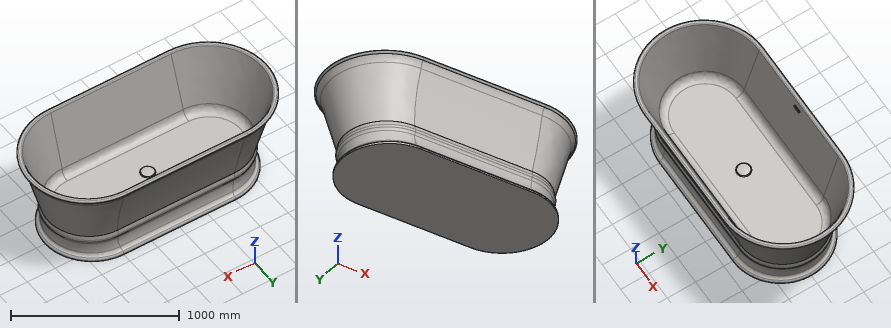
import cadquery as cq

RIM_HALF_LENGTH = 852.0
RIM_HALF_WIDTH = 419.0
TUB_HEIGHT = 615.0

RIM_THICKNESS = 22.0
RIM_BOTTOM = TUB_HEIGHT - RIM_THICKNESS
RIM_ROUNDING = 10.0

FOOT_BOTTOM = (0, 736.0, 335.0)
FLARE_BOTTOM = (22.0, 727.0, 327.0)
WAIST_BOTTOM = (45.0, 710.0, 305.0)
WAIST_TOP = (120.0, 710.0, 295.0)
BEAD_BOTTOM = (140.0, 719.0, 302.0)
BEAD_TOP = (157.0, 720.0, 303.0)
WALL_BOTTOM = (185.0, 715.0, 296.0)
WALL_TOP = (547.0, 816.0, 385.0)
LIP_TOP = (RIM_BOTTOM, RIM_HALF_LENGTH - RIM_ROUNDING, RIM_HALF_WIDTH - RIM_ROUNDING)

OUTER_BANDS = [
    [FOOT_BOTTOM, (12.0, 736.0, 335.0), FLARE_BOTTOM],
    [FLARE_BOTTOM, (30.0, 715.0, 313.0), WAIST_BOTTOM],
    [WAIST_BOTTOM, (78.0, 707.0, 295.0), WAIST_TOP],
    [WAIST_TOP, (131.0, 712.0, 296.0), BEAD_BOTTOM],
    [BEAD_BOTTOM, (148.0, 722.0, 305.0), BEAD_TOP],
    [BEAD_TOP, (170.0, 717.0, 300.0), WALL_BOTTOM],
    [WALL_BOTTOM, (366.0, 767.0, 334.0), WALL_TOP],
    [WALL_TOP, (572.0, 825.0, 394.0), LIP_TOP],
]

FLOOR_SHIFT = 10.0
FLOOR_LEVEL = 184.0
FLOOR_BEND_RISE = 15.0
FLOOR_EDGE_RISE = 55.0
FLOOR = (FLOOR_LEVEL, 655.0, 218.0)
FLOOR_BEND = (FLOOR_LEVEL + FLOOR_BEND_RISE, 692.0, 255.0)
BASIN_WALL_BOTTOM = (FLOOR_LEVEL + FLOOR_EDGE_RISE, 709.0, 275.0)
BASIN_MOUTH = (TUB_HEIGHT, 821.0, 390.0)
MOUTH_ROUNDING = 9.0

PLUG_RADIUS = 48.0
PLUG_RIM_HEIGHT = 5.0
PLUG_DOME_RADIUS = 43.0
PLUG_DOME_RISE = 5.0
PLUG_RECESS_DEPTH = 17.0
PLUG_DOME_CURVATURE = (PLUG_DOME_RADIUS**2 + PLUG_DOME_RISE**2) / (2 * PLUG_DOME_RISE)

OVERFLOW_LENGTH = 58.0
OVERFLOW_HEIGHT = 12.0
OVERFLOW_LEVEL = 554.0
OVERFLOW_END_Y = 380.0
OVERFLOW_REACH = 51.0


def stadium(level, half_length, half_width):
    """Closed stadium wire at the given Z."""
    return cq.Workplane("XY", origin=(0, 0, level)).slot2D(2 * half_length, 2 * half_width).val()


def band(sections):
    """Smooth solid through stadium cross-sections."""
    return cq.Workplane(cq.Solid.makeLoft([stadium(*section) for section in sections]))


def make_outer_form():
    """Solid tub without its basin: a stack of mouldings under a rounded rim."""
    rim_plane = cq.Workplane("XY", origin=(0, 0, RIM_BOTTOM))
    rim = rim_plane.slot2D(2 * RIM_HALF_LENGTH, 2 * RIM_HALF_WIDTH).extrude(RIM_THICKNESS)
    form = rim.faces("<Z or >Z").edges().fillet(RIM_ROUNDING)
    for sections in OUTER_BANDS:
        form = form.union(band(sections))
    return form


def make_basin():
    """Space inside the tub: sloping walls over a rounded floor edge."""
    shift = (0, FLOOR_SHIFT, 0)
    lower = band([FLOOR, FLOOR_BEND, BASIN_WALL_BOTTOM]).translate(shift)
    wall_bottom = stadium(*BASIN_WALL_BOTTOM).translate(cq.Vector(*shift))
    walls = cq.Workplane(cq.Solid.makeLoft([wall_bottom, stadium(*BASIN_MOUTH)], True))
    return lower.union(walls)


def make_overflow():
    """Rounded slot cutter reaching from the open basin into its +Y wall."""
    plane = cq.Workplane("XZ", origin=(0, OVERFLOW_END_Y, OVERFLOW_LEVEL))
    return plane.slot2D(OVERFLOW_LENGTH, OVERFLOW_HEIGHT).extrude(OVERFLOW_REACH)


def make_plug():
    """Turned plug with a bevelled edge and a shallow spherical dome."""
    bottom = FLOOR_LEVEL - PLUG_RECESS_DEPTH
    rim_top = FLOOR_LEVEL + PLUG_RIM_HEIGHT
    dome_top = rim_top + PLUG_DOME_RISE
    profile = (
        cq.Workplane("XZ")
        .moveTo(0, bottom)
        .lineTo(PLUG_RADIUS, bottom)
        .lineTo(PLUG_RADIUS, FLOOR_LEVEL)
        .lineTo(PLUG_DOME_RADIUS, rim_top)
        .radiusArc((0, dome_top), -PLUG_DOME_CURVATURE)
        .close()
    )
    return profile.revolve(360, (0, 0, 0), (0, 1, 0))


def make_tub():
    """Tub with its basin, rounded mouth, overflow slot and plug recess."""
    tub = make_outer_form().cut(make_basin())
    mouth_edges = tub.faces(">Z").val().innerWires()[0].Edges()
    tub = tub.newObject(mouth_edges).fillet(MOUTH_ROUNDING)
    recess = cq.Workplane("XY", origin=(0, 0, FLOOR_LEVEL)).circle(PLUG_RADIUS).extrude(-PLUG_RECESS_DEPTH)
    return tub.cut(make_overflow()).cut(recess)


tub = make_tub()
drain_plug = make_plug()

result = cq.Compound.makeCompound([tub.solids().val(), drain_plug.val()])